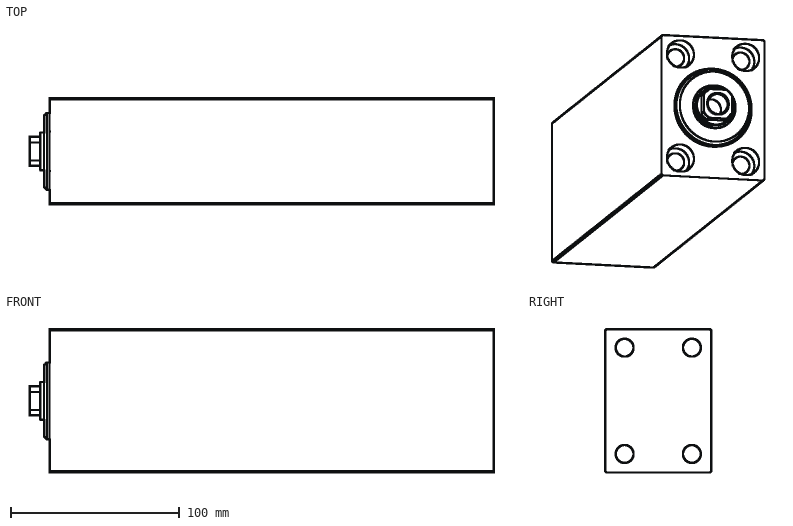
import cadquery as cq
import math


total_length = 275.0
width = 63.0
height = 85.0
long_edge_chamfer = 0.8

hole_spacing_y = 40.0
hole_spacing_z = 63.0
hole_diameter = 10.5
counterbore_diameter = 16.5
counterbore_depth = 11.5

gland_diameter = 45.6
gland_projection = 3.3
gland_chamfer = 1.6
gland_insertion = 16.5
bore_mouth_chamfer = 0.8
recess_diameter = 25.8
recess_depth = 1.0

shank_diameter = 22.5
shank_projection = 5.8
shank_chamfer_width = 1.0
shank_chamfer_length = 0.3
tip_across_flats = 17.3
tip_projection = 11.8
end_hole_diameter = 12.0
end_hole_chamfer = 0.5
end_hole_depth = 16.5
drill_point_angle = 118.0

tip_diameter = shank_diameter - 2 * shank_chamfer_width
housing_length = total_length - tip_projection


def cylinder(diameter, start_x, end_x):
    """Cylinder around the X axis between two stations."""
    return cq.Workplane("YZ", origin=(start_x, 0, 0)).circle(diameter / 2).extrude(end_x - start_x)


def cone(start_diameter, end_diameter, start_x, end_x):
    """Cone frustum around the X axis; an end diameter of zero gives a point."""
    profile = [(start_x, 0), (start_x, start_diameter / 2), (end_x, end_diameter / 2)]
    if end_diameter > 0:
        profile.append((end_x, 0))
    return cq.Workplane("XY").polyline(profile).close().revolve(360, (0, 0, 0), (1, 0, 0))


def mouth_chamfer(diameter, size, face_x):
    """Cutter that chamfers the mouth of a hole entering a face in the +X direction."""
    return cone(diameter + 2 * size, diameter, face_x, face_x + size)


def make_housing():
    block = cq.Workplane("YZ").rect(width, height).extrude(housing_length)
    block = block.edges("|X").chamfer(long_edge_chamfer)
    block = (
        block.faces("<X")
        .workplane(origin=(0, 0, 0))
        .rarray(hole_spacing_y, hole_spacing_z, 2, 2)
        .cboreHole(hole_diameter, counterbore_diameter, counterbore_depth)
    )
    block = block.cut(cylinder(gland_diameter, 0, gland_insertion))
    return block.cut(mouth_chamfer(gland_diameter, bore_mouth_chamfer, 0))


def make_gland():
    front_x = -gland_projection
    disc = cylinder(gland_diameter, front_x, gland_insertion)
    disc = disc.faces("<X").chamfer(gland_chamfer)
    disc = disc.cut(cylinder(shank_diameter, front_x, gland_insertion))
    return disc.cut(cylinder(recess_diameter, front_x, front_x + recess_depth))


def make_rod():
    front_x = -tip_projection
    shoulder_x = shank_chamfer_length - shank_projection
    shank = cylinder(shank_diameter, shoulder_x, gland_insertion)
    shank = shank.union(cone(tip_diameter, shank_diameter, -shank_projection, shoulder_x))
    flats = (
        cq.Workplane("YZ", origin=(front_x, 0, 0))
        .rect(tip_across_flats, tip_across_flats)
        .extrude(tip_projection - shank_projection)
    )
    tip = cylinder(tip_diameter, front_x, -shank_projection).intersect(flats)
    rod = shank.union(tip)

    hole_end_x = front_x + end_hole_depth
    point_length = end_hole_diameter / 2 / math.tan(math.radians(drill_point_angle / 2))
    rod = rod.cut(cylinder(end_hole_diameter, front_x, hole_end_x))
    rod = rod.cut(cone(end_hole_diameter, 0, hole_end_x, hole_end_x + point_length))
    return rod.cut(mouth_chamfer(end_hole_diameter, end_hole_chamfer, front_x))


housing = make_housing().solids()
gland = make_gland().solids()
rod = make_rod().solids()

result = cq.Compound.makeCompound([housing.val(), gland.val(), rod.val()])